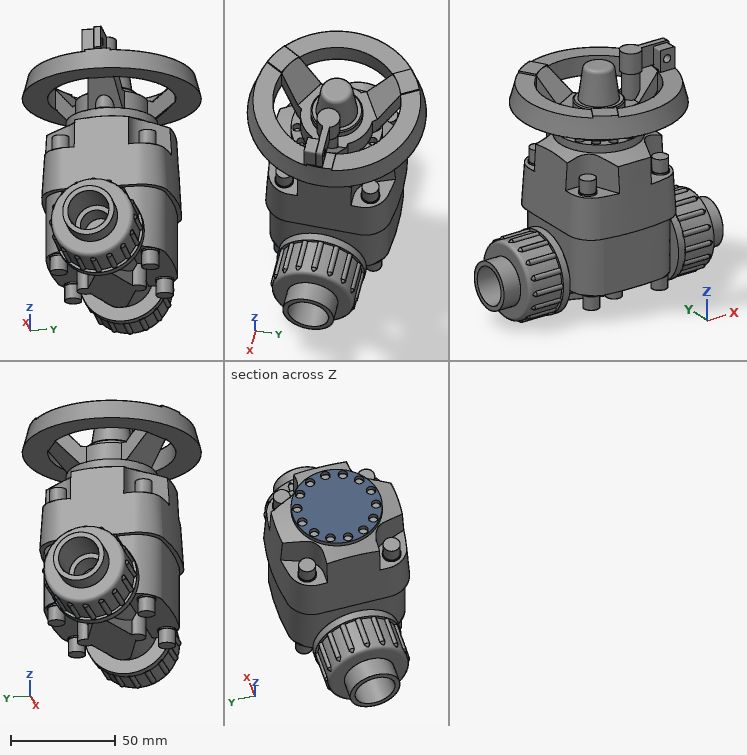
import cadquery as cq
import math


OVERALL_LENGTH = 128.0
PIPE_END_X = OVERALL_LENGTH / 2
TAIL_DIA = 25.0
SOCKET_DIA = 20.0
SOCKET_DEPTH = 20.5
BORE_DIA = 15.0
NECK_DIA = 28.9
COLLAR_DIA = 43.0
COLLAR_INNER_X = 31.6
COLLAR_OUTER_X = 35.6
NUT_DIA = 40.2
NUT_END_X = 54.3
NUT_FILLET = 1.8
RIB_COUNT = 16
RIB_RADIUS = 1.4
RIB_CENTRE_RADIUS = 19.8
RIB_END_X = 50.8
RIB_TIP_LENGTH = 1.5
RIB_TIP_RADIUS = 0.4

BODY_PLAN = dict(side_x=27.5, side_y=15.9, crown_x=17.2, crown_y=29.0, crown_peak=30.2)
BONNET_BASE_PLAN = dict(side_x=30.0, side_y=17.7, crown_x=20.2, crown_y=30.5, crown_peak=32.5)
BONNET_TOP_PLAN = dict(side_x=27.4, side_y=17.7, crown_x=19.0, crown_y=28.2, crown_peak=30.3)
BODY_BOTTOM_Z = -6.1
BODY_TOP_Z = 24.6
BONNET_TOP_Z = 63.6
ROOF_FLAT_RADIUS = 20.9
ROOF_SLOPE = 0.33
ROOF_OUTER_RADIUS = 51.2
POCKET_FLOOR_Z = 46.2
POCKET_SIDE_Y = 13.2
POCKET_ARC_START = (22.8, POCKET_SIDE_Y)
POCKET_ARC_END = (13.3, 20.1)
POCKET_LEAN = 0.38
POCKET_OUTER = 38.4

BOLT_DIA = 8.2
BOLT_COLLAR_DIA = 9.0
BOLT_COLLAR_HEIGHT = 0.8
UPPER_BOLT_XY = (21.1, 21.1)
UPPER_BOLT_TOP_Z = 54.1
LOWER_BOLT_XY = (19.8, 22.3)
LOWER_BOLT_BOTTOM_Z = -14.2

FOOT_BOTTOM_Z = -17.2
FOOT_POST_DIA = 8.2
FOOT_POST_X = 20.7
FOOT_POST_Y = 12.7
FOOT_RIDGE_HALF_WIDTH = 12.3
FOOT_END_X = 22.1
FOOT_END_HALF_WIDTH = 3.8

FLANGE_DIA = 43.9
FLANGE_TOP_Z = 67.8
INDEX_HOLE_COUNT = 14
INDEX_HOLE_DIA = 4.4
INDEX_CIRCLE_RADIUS = 19.0

HUB_DIA = 34.8
HUB_TOP_Z = 78.3
WHEEL_BOTTOM_DIA = 85.9
WHEEL_TOP_DIA = 80.4
WHEEL_INNER_DIA = 61.5
WHEEL_BOTTOM_Z = 80.4
WHEEL_TOP_Z = 90.6
PAD_TOP_Z = 91.5
SPOKE_COUNT = 3
SPOKE_BOTTOM_Z = 68.6
SPOKE_ROOT_X = 17.7
SPOKE_UNDER_RIM_X = 29.8
SPOKE_AXIS_HALF_WIDTH = 11.4
SPOKE_RIM_HALF_WIDTH = 6.1

RING_DIA = 25.0
RING_TOP_Z = 82.3
RING_CHAMFER = 0.6
CAP_BASE_DIA = 20.0
CAP_TOP_DIA = 15.0
CAP_TOP_Z = 100.0
CAP_FILLET = 2.0

PIN_X = 18.7
PIN_DIA = 9.0
PIN_HEAD_DIA = 11.0
PIN_HEAD_BOTTOM_Z = 92.4
PIN_TOP_Z = 103.3
ARM_END_X = 40.0
ARM_THICKNESS = 3.3
ARM_FILLET = 1.7
LUG_START_X = WHEEL_INNER_DIA / 2
LUG_END_X = 39.3
LUG_OUTER_Y = -7.5
LUG_TOP_Z = 102.1
LUG_FILLET = 0.8
LOCK_HOLE_X = 34.7
LOCK_HOLE_Z = 96.9
LUG_HOLE_DIA = 4.1
ARM_HOLE_DIA = 3.6


def cylinder(dia, bottom_z, top_z, x=0.0, y=0.0):
    """Upright cylinder between two heights."""
    disc = cq.Workplane("XY", origin=(x, y, bottom_z)).circle(dia / 2)
    return disc.extrude(top_z - bottom_z)


def cylinder_along_x(dia, start_x, end_x):
    """Cylinder on the pipe axis."""
    disc = cq.Workplane("YZ", origin=(start_x, 0, 0)).circle(dia / 2)
    return disc.extrude(end_x - start_x)


def union_end():
    """Pipe tail, neck and ribbed union nut on the +X end."""
    end = cylinder_along_x(NECK_DIA, 0, COLLAR_OUTER_X)
    end = end.union(cylinder_along_x(TAIL_DIA, 0, PIPE_END_X))
    end = end.union(cylinder_along_x(COLLAR_DIA, COLLAR_INNER_X, COLLAR_OUTER_X))
    nut = cylinder_along_x(NUT_DIA, COLLAR_INNER_X, NUT_END_X)
    end = end.union(nut.faces(">X").edges().fillet(NUT_FILLET))

    tip_x = RIB_END_X + RIB_TIP_LENGTH
    rib = (
        cq.Workplane("XY")
        .moveTo(COLLAR_INNER_X, 0)
        .lineTo(COLLAR_INNER_X, RIB_RADIUS)
        .lineTo(RIB_END_X, RIB_RADIUS)
        .lineTo(tip_x, RIB_TIP_RADIUS)
        .lineTo(tip_x, 0)
        .close()
        .revolve(360, (0, 0, 0), (1, 0, 0))
        .translate((0, RIB_CENTRE_RADIUS, 0))
    )
    for i in range(RIB_COUNT):
        end = end.union(rib.rotate((0, 0, 0), (1, 0, 0), i * 360 / RIB_COUNT))
    return end


def union_end_bore():
    """Stepped blind bore of the +X end."""
    socket = cylinder_along_x(SOCKET_DIA, PIPE_END_X - SOCKET_DEPTH, PIPE_END_X)
    return socket.union(cylinder_along_x(BORE_DIA, COLLAR_INNER_X, PIPE_END_X))


def box_between(x_range, y_range, z_range):
    """Box given by its limits along each axis."""
    sizes = [high - low for low, high in (x_range, y_range, z_range)]
    corner = (x_range[0], y_range[0], z_range[0])
    return cq.Workplane("XY").box(*sizes, centered=False).translate(corner)


def both_ends(shape):
    """The shape together with its mirror image across the YZ plane."""
    return shape.union(shape.mirror("YZ"))


def at_corners(shape):
    """Four copies of a shape, mirrored across the XZ and YZ planes."""
    return both_ends(shape.union(shape.mirror("XZ")))


def housing_outline(plane, side_x, side_y, crown_x, crown_y, crown_peak):
    """Flat +X and -X sides, bowed +Y and -Y sides and round corners."""
    run = side_x - crown_x
    rise = crown_y - side_y
    corner_radius = (run**2 + rise**2) / (2 * run)
    half_turn = math.asin(rise / corner_radius) / 2
    corner_x = side_x - corner_radius * (1 - math.cos(half_turn))
    corner_y = side_y + corner_radius * math.sin(half_turn)
    return (
        plane.moveTo(side_x, -side_y)
        .lineTo(side_x, side_y)
        .threePointArc((corner_x, corner_y), (crown_x, crown_y))
        .threePointArc((0, crown_peak), (-crown_x, crown_y))
        .threePointArc((-corner_x, corner_y), (-side_x, side_y))
        .lineTo(-side_x, -side_y)
        .threePointArc((-corner_x, -corner_y), (-crown_x, -crown_y))
        .threePointArc((0, -crown_peak), (crown_x, -crown_y))
        .threePointArc((corner_x, -corner_y), (side_x, -side_y))
        .close()
    )


def body():
    """Straight-sided housing across the pipe."""
    plane = cq.Workplane("XY", origin=(0, 0, BODY_BOTTOM_Z))
    outline = housing_outline(plane, **BODY_PLAN)
    return outline.extrude(BODY_TOP_Z - BODY_BOTTOM_Z)


def bonnet():
    """Tapered housing with a conical roof and a bolt pocket at each corner."""
    base = cq.Workplane("XY", origin=(0, 0, BODY_TOP_Z))
    outline = housing_outline(base, **BONNET_BASE_PLAN)
    top = outline.workplane(offset=BONNET_TOP_Z - BODY_TOP_Z)
    housing = housing_outline(top, **BONNET_TOP_PLAN).loft(ruled=True)

    roof_edge_z = BONNET_TOP_Z - ROOF_SLOPE * (ROOF_OUTER_RADIUS - ROOF_FLAT_RADIUS)
    envelope = (
        cq.Workplane("XZ")
        .moveTo(0, BODY_TOP_Z)
        .lineTo(ROOF_OUTER_RADIUS, BODY_TOP_Z)
        .lineTo(ROOF_OUTER_RADIUS, roof_edge_z)
        .lineTo(ROOF_FLAT_RADIUS, BONNET_TOP_Z)
        .lineTo(0, BONNET_TOP_Z)
        .close()
        .revolve(360, (0, 0, 0), (0, 1, 0))
    )
    housing = housing.intersect(envelope)

    lean_end_x = POCKET_ARC_END[0] - POCKET_LEAN * (POCKET_OUTER - POCKET_ARC_END[1])
    pocket = (
        cq.Workplane("XY", origin=(0, 0, POCKET_FLOOR_Z))
        .moveTo(POCKET_OUTER, POCKET_SIDE_Y)
        .lineTo(*POCKET_ARC_START)
        .tangentArcPoint(POCKET_ARC_END, relative=False)
        .lineTo(lean_end_x, POCKET_OUTER)
        .lineTo(POCKET_OUTER, POCKET_OUTER)
        .close()
        .extrude(BONNET_TOP_Z - POCKET_FLOOR_Z)
    )
    return housing.cut(at_corners(pocket))


def bolts():
    """Bolt ends standing in the pockets and hanging below the body."""
    upper_collar_z = POCKET_FLOOR_Z + BOLT_COLLAR_HEIGHT
    lower_collar_z = BODY_BOTTOM_Z - BOLT_COLLAR_HEIGHT
    upper = cylinder(BOLT_DIA, POCKET_FLOOR_Z, UPPER_BOLT_TOP_Z, *UPPER_BOLT_XY)
    upper = upper.union(cylinder(BOLT_COLLAR_DIA, POCKET_FLOOR_Z, upper_collar_z, *UPPER_BOLT_XY))
    lower = cylinder(BOLT_DIA, LOWER_BOLT_BOTTOM_Z, BODY_BOTTOM_Z, *LOWER_BOLT_XY)
    lower = lower.union(cylinder(BOLT_COLLAR_DIA, lower_collar_z, BODY_BOTTOM_Z, *LOWER_BOLT_XY))
    return at_corners(upper.union(lower))


def foot():
    """Diamond-shaped web with a round post at each of its four points."""
    web = (
        cq.Workplane("XY", origin=(0, 0, FOOT_BOTTOM_Z))
        .moveTo(FOOT_END_X, -FOOT_END_HALF_WIDTH)
        .lineTo(FOOT_END_X, FOOT_END_HALF_WIDTH)
        .lineTo(0, FOOT_RIDGE_HALF_WIDTH)
        .lineTo(-FOOT_END_X, FOOT_END_HALF_WIDTH)
        .lineTo(-FOOT_END_X, -FOOT_END_HALF_WIDTH)
        .lineTo(0, -FOOT_RIDGE_HALF_WIDTH)
        .close()
        .extrude(BODY_BOTTOM_Z - FOOT_BOTTOM_Z)
    )
    for x, y in ((FOOT_POST_X, 0), (-FOOT_POST_X, 0), (0, FOOT_POST_Y), (0, -FOOT_POST_Y)):
        web = web.union(cylinder(FOOT_POST_DIA, FOOT_BOTTOM_Z, BODY_BOTTOM_Z, x, y))
    return web


def index_flange():
    """Disc on the bonnet with a ring of locking holes through it."""
    flange = cylinder(FLANGE_DIA, BONNET_TOP_Z, FLANGE_TOP_Z)
    holes = (
        cq.Workplane("XY", origin=(0, 0, BONNET_TOP_Z))
        .polarArray(INDEX_CIRCLE_RADIUS, 0, 360, INDEX_HOLE_COUNT)
        .circle(INDEX_HOLE_DIA / 2)
        .extrude(FLANGE_TOP_Z - BONNET_TOP_Z)
    )
    return flange.cut(holes)


def around_wheel(shape):
    """One copy of a shape for each spoke, spaced evenly about the spindle."""
    ring = shape
    for i in range(1, SPOKE_COUNT):
        ring = ring.union(shape.rotate((0, 0, 0), (0, 0, 1), i * 360 / SPOKE_COUNT))
    return ring


def rim():
    """Tapered rim with a raised flat pad at each spoke."""
    taper = (WHEEL_BOTTOM_DIA - WHEEL_TOP_DIA) / 2 / (WHEEL_TOP_Z - WHEEL_BOTTOM_Z)
    pad_outer_radius = WHEEL_TOP_DIA / 2 - taper * (PAD_TOP_Z - WHEEL_TOP_Z)
    full_height = (
        cq.Workplane("XZ")
        .moveTo(WHEEL_INNER_DIA / 2, WHEEL_BOTTOM_Z)
        .lineTo(WHEEL_BOTTOM_DIA / 2, WHEEL_BOTTOM_Z)
        .lineTo(pad_outer_radius, PAD_TOP_Z)
        .lineTo(WHEEL_INNER_DIA / 2, PAD_TOP_Z)
        .close()
        .revolve(360, (0, 0, 0), (0, 1, 0))
    )
    half_width = SPOKE_RIM_HALF_WIDTH
    pad = box_between((0, WHEEL_BOTTOM_DIA), (-half_width, half_width), (WHEEL_TOP_Z, PAD_TOP_Z))
    between_pads = cylinder(WHEEL_BOTTOM_DIA, WHEEL_TOP_Z, PAD_TOP_Z).cut(around_wheel(pad))
    return full_height.cut(between_pads)


def spoke():
    """Spoke toward +X, sloping up from the hub and ending inside the rim."""
    rim_inner = WHEEL_INNER_DIA / 2
    rim_middle = (WHEEL_INNER_DIA + WHEEL_TOP_DIA) / 4
    side = (
        cq.Workplane("XZ")
        .moveTo(0, SPOKE_BOTTOM_Z)
        .lineTo(SPOKE_ROOT_X, SPOKE_BOTTOM_Z)
        .lineTo(SPOKE_UNDER_RIM_X, WHEEL_BOTTOM_Z)
        .lineTo(rim_middle, WHEEL_BOTTOM_Z)
        .lineTo(rim_middle, PAD_TOP_Z)
        .lineTo(rim_inner, PAD_TOP_Z)
        .lineTo(SPOKE_ROOT_X, HUB_TOP_Z)
        .lineTo(0, HUB_TOP_Z)
        .close()
        .extrude(SPOKE_AXIS_HALF_WIDTH, both=True)
    )
    plan = (
        cq.Workplane("XY", origin=(0, 0, SPOKE_BOTTOM_Z))
        .moveTo(0, -SPOKE_AXIS_HALF_WIDTH)
        .lineTo(rim_inner, -SPOKE_RIM_HALF_WIDTH)
        .lineTo(rim_middle, -SPOKE_RIM_HALF_WIDTH)
        .lineTo(rim_middle, SPOKE_RIM_HALF_WIDTH)
        .lineTo(rim_inner, SPOKE_RIM_HALF_WIDTH)
        .lineTo(0, SPOKE_AXIS_HALF_WIDTH)
        .close()
        .extrude(PAD_TOP_Z - SPOKE_BOTTOM_Z)
    )
    return side.intersect(plan)


def handwheel():
    """Rim joined to the hub by the spokes."""
    hub = cylinder(HUB_DIA, FLANGE_TOP_Z, HUB_TOP_Z)
    return rim().union(around_wheel(spoke())).union(hub)


def spindle_cap():
    """Chamfered ring carrying a tapered cap with a rounded top."""
    ring = cylinder(RING_DIA, HUB_TOP_Z, RING_TOP_Z).faces(">Z").chamfer(RING_CHAMFER)
    cap = (
        cq.Workplane("XY", origin=(0, 0, RING_TOP_Z))
        .circle(CAP_BASE_DIA / 2)
        .workplane(offset=CAP_TOP_Z - RING_TOP_Z)
        .circle(CAP_TOP_DIA / 2)
        .loft()
        .faces(">Z")
        .edges()
        .fillet(CAP_FILLET)
    )
    return ring.union(cap)


def lock_hole(dia):
    """Cutter along Y for the padlock shackle."""
    circle = cq.Workplane("XZ", origin=(LOCK_HOLE_X, 0, LOCK_HOLE_Z)).circle(dia / 2)
    return circle.extrude(-LUG_OUTER_Y, both=True)


def lock():
    """Locking pin with a flat arm that lies against a lug on the rim."""
    half_arm = ARM_THICKNESS / 2
    pin = cylinder(PIN_DIA, FLANGE_TOP_Z, PIN_HEAD_BOTTOM_Z, PIN_X)
    pin = pin.union(cylinder(PIN_HEAD_DIA, PIN_HEAD_BOTTOM_Z, PIN_TOP_Z, PIN_X))
    arm = box_between((PIN_X, ARM_END_X), (-half_arm, half_arm), (PIN_HEAD_BOTTOM_Z, PIN_TOP_Z))
    arm = arm.edges(">X and >Z").fillet(ARM_FILLET)
    lug = box_between((LUG_START_X, LUG_END_X), (LUG_OUTER_Y, -half_arm), (WHEEL_TOP_Z, LUG_TOP_Z))
    lug = lug.edges("|Y and >Z").fillet(LUG_FILLET)
    arm = arm.cut(lock_hole(ARM_HOLE_DIA))
    lug = lug.cut(lock_hole(LUG_HOLE_DIA))
    return pin.union(arm).union(lug)


result = both_ends(union_end()).union(body()).union(foot())
result = result.cut(both_ends(union_end_bore()))
for section in (bonnet(), bolts(), index_flange(), handwheel(), spindle_cap(), lock()):
    result = result.union(section)